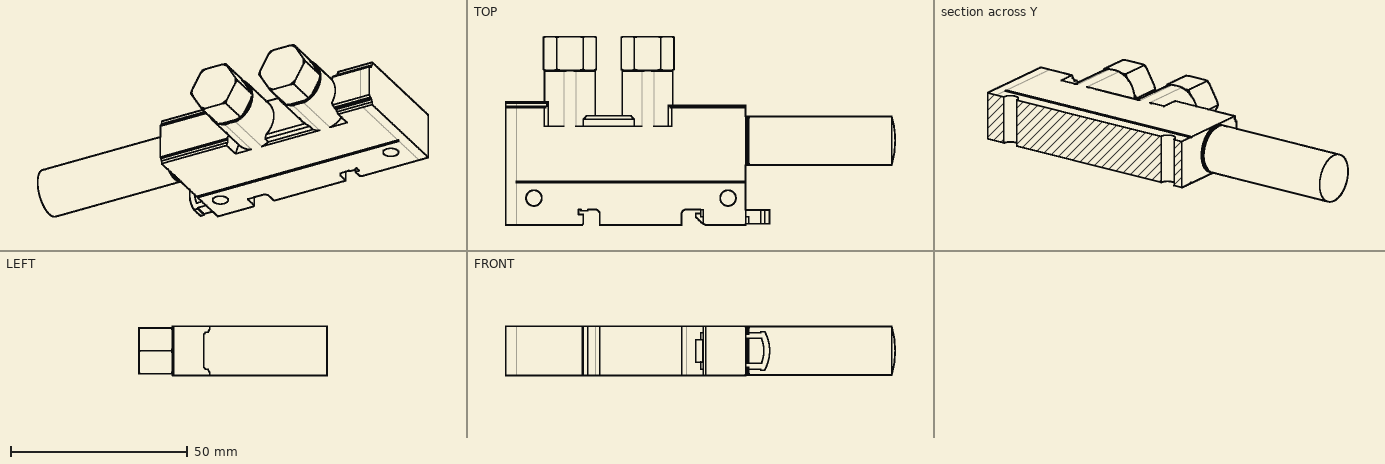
import cadquery as cq
import math

THICKNESS = 14.0
HALF = THICKNESS / 2
BODY_LENGTH = 68.0
END_PLATE = 3.0
SHOULDER_Y = 33.3
LEFT_LAND_Y = 35.0
RIGHT_LAND_Y = 34.0
LAND_HALF = 5.2
LAND_CHAMFER_Y = 0.5
LAND_CHAMFER_Z = 0.6
LEDGE_RISE = 0.4
LEDGE_TOP_Z = 5.5
LEDGE_FOOT_Z = 6.1

POCKET_X0 = 11.0
POCKET_X1 = 47.0
POCKET_FLOOR_Y = 28.0
POCKET_LEAN = 1.2
POCKET_LEAN_Z = 3.6

FITTING_X = 18.2
FITTING_PITCH = 22.0
FITTING_COUNT = 2
TUBE_DIA = 14.4
TUBE_END_Y = 43.85
TUBE_CHAMFER = 0.3
HEX_FLATS = 13.0
HEX_CORNERS = HEX_FLATS / math.cos(math.pi / 6)
HEX_END_Y = 53.4
HEX_CHAMFER = 0.25
BRIDGE_HALF = 6.1
BRIDGE_Y = 31.0
BRIDGE_CHAMFER_Y = 1.0
BRIDGE_CHAMFER_Z = 0.65

EXHAUST_Y = 23.9
EXHAUST_DIA = 13.8
EXHAUST_NECK_DIA = 12.8
EXHAUST_FLANGE = 0.45
EXHAUST_NECK = 0.45
EXHAUST_END_X = 110.4
EXHAUST_DOME = 1.0

HOLE_DIA = 4.4
HOLE_X = 8.0
HOLE_PITCH = 55.0
HOLE_Y = 7.65
SEAM_Y = 12.15
SEAM_WIDTH = 0.4
SEAM_DEPTH = 0.2

NOTCH_DEPTH = 4.4
NOTCH_RADIUS = 1.3
LEFT_NOTCH_X0 = 22.0
LEFT_NOTCH_X1 = 26.65
HOOK_REACH = 1.3
HOOK_Y0 = 3.0
HOOK_Y1 = 4.0
HOOK_TIP = 0.6
RIGHT_NOTCH_X0 = 49.85
RIGHT_NOTCH_X1 = 56.0
LEAD_IN = 0.35
LATCH_LEAD_X = 0.65

CLIP_Y0 = 0.35
CLIP_Y1 = 4.3
CLIP_HALF = 5.15
LATCH_X = 53.8
LATCH_HALF = 3.2
LATCH_Y = 3.3
LATCH_NOSE_Y = 2.35
LATCH_BASE_X = 55.2
LATCH_BASE_Y = 2.3
RING_BUMP = 0.3
RING_BUMP_X = 72.2
RING_CORNER_X = 73.4
RING_END_X = 74.8
RING_HALF = 3.5
RING_OPEN_X = 72.5
RING_OPEN_BULGE = 0.65
RELIEF_X = 68.8
RELIEF_Y = 2.3
RELIEF_DEPTH = 0.5


def box(x0, x1, y0, y1, half):
    """Block symmetric about the mid-plane."""
    return cq.Workplane("XY").box(x1 - x0, y1 - y0, 2 * half, centered=False).translate((x0, y0, -half))


def prism(points, half):
    """XY outline extruded equally to both sides of the mid-plane."""
    return cq.Workplane("XY", origin=(0, 0, -half)).polyline(points).close().extrude(2 * half)


def mirrored_section(upper_points, x0, x1):
    """YZ outline, symmetric in z and given by its upper half, swept from x0 to x1."""
    lower_points = [(y, -z) for y, z in reversed(upper_points)]
    section = cq.Workplane("YZ", origin=(x0, 0, 0)).polyline(upper_points + lower_points).close()
    return section.extrude(x1 - x0)


def shoulder_points():
    """Half outline up to the foot of the raised land."""
    return [
        (0, HALF),
        (SHOULDER_Y, HALF),
        (SHOULDER_Y, LEDGE_FOOT_Z),
        (SHOULDER_Y + LEDGE_RISE, LEDGE_TOP_Z),
        (SHOULDER_Y + LEDGE_RISE, LAND_HALF),
    ]


def left_section(x0, x1):
    land = [
        (LEFT_LAND_Y - LAND_CHAMFER_Y, LAND_HALF),
        (LEFT_LAND_Y, LAND_HALF - LAND_CHAMFER_Z),
    ]
    return mirrored_section(shoulder_points() + land, x0, x1)


def right_section(x0, x1):
    return mirrored_section(shoulder_points() + [(RIGHT_LAND_Y, LAND_HALF)], x0, x1)


def body_block():
    mid_x = (POCKET_X0 + POCKET_X1) / 2
    return left_section(END_PLATE, mid_x).union(right_section(mid_x, BODY_LENGTH))


def end_plate():
    return left_section(0, END_PLATE)


def fitting_pocket():
    """Pocket through the thickness whose two ends lean inward towards the mid-plane."""
    inner_x0 = POCKET_X0 + POCKET_LEAN
    inner_x1 = POCKET_X1 - POCKET_LEAN
    right_end = [
        (POCKET_X1, HALF),
        (inner_x1, POCKET_LEAN_Z),
        (inner_x1, -POCKET_LEAN_Z),
        (POCKET_X1, -HALF),
    ]
    left_end = [
        (POCKET_X0, -HALF),
        (inner_x0, -POCKET_LEAN_Z),
        (inner_x0, POCKET_LEAN_Z),
        (POCKET_X0, HALF),
    ]
    plane = cq.Workplane("XZ", origin=(0, POCKET_FLOOR_Y, 0))
    return plane.polyline(right_end + left_end).close().extrude(POCKET_FLOOR_Y - HEX_END_Y)


def bridge():
    section = [
        (POCKET_FLOOR_Y, BRIDGE_HALF),
        (BRIDGE_Y - BRIDGE_CHAMFER_Y, BRIDGE_HALF),
        (BRIDGE_Y, BRIDGE_HALF - BRIDGE_CHAMFER_Z),
    ]
    return mirrored_section(section, FITTING_X, FITTING_X + FITTING_PITCH)


def fitting(x):
    """Round tube flush with the large faces, ending in a hexagon head."""
    tube_plane = cq.Workplane("XZ", origin=(x, POCKET_FLOOR_Y, 0))
    tube = tube_plane.circle(TUBE_DIA / 2).extrude(POCKET_FLOOR_Y - TUBE_END_Y)
    tube = tube.faces(">Y").chamfer(TUBE_CHAMFER)
    tube = tube.intersect(box(x - TUBE_DIA, x + TUBE_DIA, 0, HEX_END_Y, HALF))

    head_plane = cq.Workplane("XZ", origin=(x, TUBE_END_Y, 0))
    head_length = HEX_END_Y - TUBE_END_Y
    head = head_plane.polygon(6, HEX_CORNERS).extrude(-head_length)
    corner_trim = head_plane.circle(HEX_CORNERS / 2).extrude(-head_length)
    corner_trim = corner_trim.faces("<Y or >Y").chamfer(HEX_CHAMFER, HEX_CHAMFER * 2)
    return tube.union(head.intersect(corner_trim))


def exhaust_tube():
    radius = EXHAUST_DIA / 2
    neck_radius = EXHAUST_NECK_DIA / 2
    flange_end = BODY_LENGTH + EXHAUST_FLANGE
    neck_end = flange_end + EXHAUST_NECK
    dome_start = EXHAUST_END_X - EXHAUST_DOME
    dome_radius = (radius**2 + EXHAUST_DOME**2) / (2 * EXHAUST_DOME)
    profile = (
        cq.Workplane("XY", origin=(0, EXHAUST_Y, 0))
        .moveTo(BODY_LENGTH, 0)
        .lineTo(BODY_LENGTH, radius)
        .lineTo(flange_end, radius)
        .lineTo(flange_end, neck_radius)
        .lineTo(neck_end, neck_radius)
        .lineTo(neck_end, radius)
        .lineTo(dome_start, radius)
        .radiusArc((EXHAUST_END_X, 0), dome_radius)
        .close()
    )
    return profile.revolve(360, (0, 0, 0), (1, 0, 0))


def seam_groove():
    groove = box(END_PLATE, BODY_LENGTH, SEAM_Y - SEAM_WIDTH / 2, SEAM_Y + SEAM_WIDTH / 2, HALF)
    core = box(END_PLATE, BODY_LENGTH, 0, SHOULDER_Y, HALF - SEAM_DEPTH)
    return groove.cut(core)


def left_notch():
    tip_x = LEFT_NOTCH_X0 - HOOK_REACH
    inner_x = LEFT_NOTCH_X0 + HOOK_REACH
    notch = prism([
        (LEFT_NOTCH_X0 - LEAD_IN, 0),
        (LEFT_NOTCH_X0, LEAD_IN),
        (LEFT_NOTCH_X0, HOOK_Y0),
        (tip_x, HOOK_Y0),
        (tip_x, NOTCH_DEPTH),
        (tip_x + HOOK_TIP, NOTCH_DEPTH),
        (tip_x + HOOK_TIP, HOOK_Y1),
        (inner_x, HOOK_Y1),
        (inner_x, NOTCH_DEPTH),
        (LEFT_NOTCH_X1, NOTCH_DEPTH),
        (LEFT_NOTCH_X1, 0),
    ], HALF)
    round_corner = cq.NearestToPointSelector((LEFT_NOTCH_X1, NOTCH_DEPTH, 0))
    return notch.edges("|Z").edges(round_corner).fillet(NOTCH_RADIUS)


def right_notch():
    notch = prism([
        (RIGHT_NOTCH_X0, 0),
        (RIGHT_NOTCH_X0, NOTCH_DEPTH),
        (RIGHT_NOTCH_X1, NOTCH_DEPTH),
        (RIGHT_NOTCH_X1, LEAD_IN),
        (RIGHT_NOTCH_X1 + LATCH_LEAD_X, 0),
    ], HALF)
    round_corner = cq.NearestToPointSelector((RIGHT_NOTCH_X0, NOTCH_DEPTH, 0))
    return notch.edges("|Z").edges(round_corner).fillet(NOTCH_RADIUS)


def clip_latch():
    """Hook of the clip that reaches into the right rail notch."""
    nose = prism([
        (LATCH_X, LATCH_NOSE_Y),
        (LATCH_X, LATCH_Y),
        (RIGHT_NOTCH_X1, LATCH_Y),
        (RIGHT_NOTCH_X1, CLIP_Y0),
        (LATCH_X + LATCH_NOSE_Y - CLIP_Y0, CLIP_Y0),
    ], LATCH_HALF)
    base = box(LATCH_BASE_X, RIGHT_NOTCH_X1, LATCH_BASE_Y, NOTCH_DEPTH, CLIP_HALF)
    return nose.union(base)


def clip_ring():
    """Pull ring of the clip, standing out of the body below the exhaust tube."""
    plane = cq.Workplane("XZ", origin=(0, CLIP_Y0, 0))
    height = CLIP_Y1 - CLIP_Y0
    bump_half = CLIP_HALF + RING_BUMP
    outer = (
        plane.moveTo(BODY_LENGTH, -CLIP_HALF)
        .lineTo(RING_BUMP_X, -CLIP_HALF)
        .lineTo(RING_BUMP_X, -bump_half)
        .lineTo(RING_CORNER_X, -bump_half)
        .threePointArc((RING_END_X, 0), (RING_CORNER_X, bump_half))
        .lineTo(RING_BUMP_X, bump_half)
        .lineTo(RING_BUMP_X, CLIP_HALF)
        .lineTo(BODY_LENGTH, CLIP_HALF)
        .close()
        .extrude(-height)
    )
    opening = (
        plane.moveTo(BODY_LENGTH, -RING_HALF)
        .lineTo(RING_OPEN_X, -RING_HALF)
        .threePointArc((RING_OPEN_X + RING_OPEN_BULGE, 0), (RING_OPEN_X, RING_HALF))
        .lineTo(BODY_LENGTH, RING_HALF)
        .close()
        .extrude(-height)
    )
    relief = box(BODY_LENGTH, RELIEF_X, CLIP_Y0, RELIEF_Y, CLIP_HALF)
    relief = relief.cut(box(BODY_LENGTH, RELIEF_X, CLIP_Y0, RELIEF_Y, CLIP_HALF - RELIEF_DEPTH))
    return outer.cut(opening).cut(relief)


def mounting_holes():
    centers = [(HOLE_X, HOLE_Y), (HOLE_X + HOLE_PITCH, HOLE_Y)]
    return cq.Workplane("XY").pushPoints(centers).circle(HOLE_DIA / 2).extrude(HALF, both=True)


result = body_block().cut(fitting_pocket()).union(bridge())
for index in range(FITTING_COUNT):
    result = result.union(fitting(FITTING_X + index * FITTING_PITCH))
result = result.union(exhaust_tube())
for cutter in (seam_groove(), left_notch(), right_notch(), mounting_holes()):
    result = result.cut(cutter)
result = result.union(clip_latch()).union(clip_ring())
result = result.union(end_plate(), clean=False)